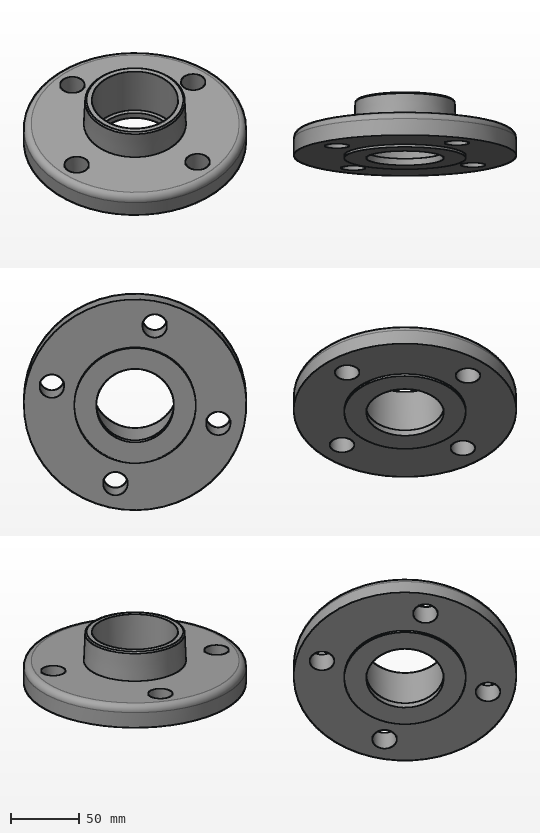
import cadquery as cq

flange_diameter = 163.0
flange_thickness = 17.8
rim_fillet = 5.4

face_diameter = 89.0
face_height = 2.0

total_height = 42.5
hub_base_diameter = 75.0
hub_top_diameter = 73.0
hub_edge_chamfer = 1.1

bore_diameter = 56.7
socket_diameter = 63.0
socket_depth = 37.7

bolt_hole_diameter = 18.0
bolt_circle_diameter = 125.2
bolt_hole_count = 4

flange_top = face_height + flange_thickness
hub_height = total_height - flange_top


def cylinder(diameter, bottom, height):
    """Vertical cylinder on the part axis."""
    return cq.Workplane("XY").workplane(offset=bottom).circle(diameter / 2).extrude(height)


def make_hub():
    """Hub narrowing upwards, with a chamfered outer top edge."""
    hub = (
        cq.Workplane("XY")
        .workplane(offset=flange_top)
        .circle(hub_base_diameter / 2)
        .workplane(offset=hub_height)
        .circle(hub_top_diameter / 2)
        .loft()
    )
    return hub.faces(">Z").edges().chamfer(hub_edge_chamfer)


def make_bolt_holes():
    """Through holes evenly spaced on the bolt circle."""
    return (
        cq.Workplane("XY")
        .polarArray(bolt_circle_diameter / 2, 0, 360, bolt_hole_count)
        .circle(bolt_hole_diameter / 2)
        .extrude(flange_top)
    )


disk = cylinder(flange_diameter, face_height, flange_thickness).faces(">Z").edges().fillet(rim_fillet)
sealing_face = cylinder(face_diameter, 0, face_height)
bore = cylinder(bore_diameter, 0, total_height)
socket = cylinder(socket_diameter, total_height - socket_depth, socket_depth)

result = disk.union(sealing_face).union(make_hub())
result = result.cut(bore).cut(socket).cut(make_bolt_holes())